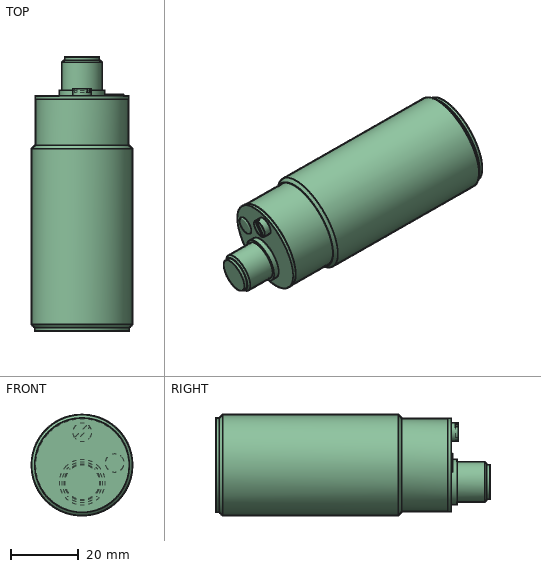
import cadquery as cq


body_diameter = 30.0
face_diameter = 28.0
face_length = 1.0
body_chamfer = (body_diameter - face_diameter) / 2
body_end = 55.0

sleeve_diameter = 27.6
cap_diameter = 27.8
cap_thickness = 1.0
cap_end = 69.7

overall_length = 81.2
connector_z = -5.0
flange_diameter = 13.5
flange_thickness = 1.7
plug_diameter = 12.0
plug_chamfer = 0.6
tip_diameter = 10.3
tip_length = 1.0
plug_length = overall_length - tip_length - cap_end

screw_diameter = 5.5
screw_z = 9.8
screw_height = 2.1
slot_width = 1.0
slot_depth = 1.0
slot_angle = 45.0

lens_diameter = 5.5
lens_x = 9.6
lens_z = 0.7
lens_height = 0.5
lens_rim_radius = 0.4


def rod(diameter, start, length, x=0.0, z=0.0):
    """Cylinder along +Y, starting at Y = start, centred on (x, z)."""
    center = cq.Vector(x, start, z)
    return cq.Workplane(cq.Solid.makeCylinder(diameter / 2, length, center, cq.Vector(0, 1, 0)))


def make_housing():
    face = rod(face_diameter, 0, face_length)
    body = rod(body_diameter, face_length, body_end - face_length).edges().chamfer(body_chamfer)
    sleeve = rod(sleeve_diameter, body_end, cap_end - cap_thickness - body_end)
    cap = rod(cap_diameter, cap_end - cap_thickness, cap_thickness)
    return face.union(body).union(sleeve).union(cap)


def make_connector():
    flange = rod(flange_diameter, cap_end, flange_thickness, z=connector_z)
    plug = rod(plug_diameter, cap_end, plug_length, z=connector_z)
    plug = plug.faces(">Y").edges().chamfer(plug_chamfer)
    tip = rod(tip_diameter, cap_end + plug_length, tip_length, z=connector_z)
    return flange.union(plug).union(tip)


def make_screw():
    head = rod(screw_diameter, cap_end, screw_height, z=screw_z)
    slot = (
        cq.Workplane("XY")
        .box(2 * screw_diameter, slot_depth, slot_width)
        .rotate((0, 0, 0), (0, 1, 0), -slot_angle)
        .translate((0, cap_end + screw_height - slot_depth / 2, screw_z))
    )
    return head.cut(slot)


def make_lens():
    """Low round disc with a rounded rim, standing on the cap."""
    lens = rod(lens_diameter, cap_end, lens_height, x=lens_x, z=lens_z)
    return lens.faces(">Y").edges().fillet(lens_rim_radius)


result = make_housing().union(make_connector()).union(make_screw()).union(make_lens())